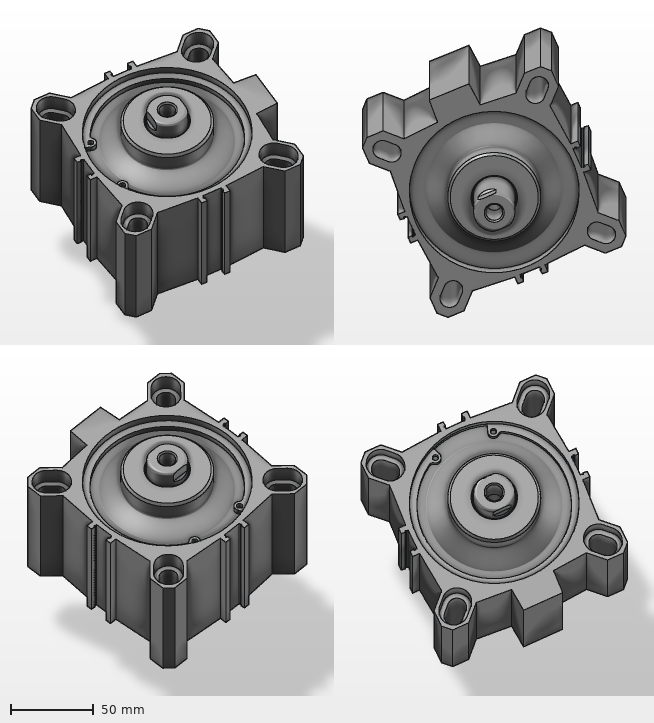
import cadquery as cq
import math

TOTAL_LENGTH = 137.0
HOUSING_WIDTH = 124.0
HOUSING_DEPTH = 131.0
HOUSING_BOTTOM = 40.5
HOUSING_HEIGHT = 75.6
HOUSING_TOP = HOUSING_BOTTOM + HOUSING_HEIGHT
MID_HEIGHT = (HOUSING_BOTTOM + HOUSING_TOP) / 2

CORNER_REACH = HOUSING_WIDTH / 2
LUG_CHAMFER = 5.1
LUG_FOOT = 46.3
LUG_NECK = 36.7
SIDE_REACH = 54.4
ROOT_REACH = 52.0
NECK_REACH = LUG_NECK + CORNER_REACH - LUG_FOOT

RIB_ROOT_INNER = 6.3
RIB_LIP_INNER = 5.9
RIB_TIP_INNER = 6.2
NOTCH_FLOOR = 6.7
RIB_OUTER = 9.9
RIB_REACH = 59.0
NOTCH_OFFSET = 1.1
NOTCH_START = SIDE_REACH + NOTCH_OFFSET
NOTCH_WIDTH = 1.0

BLOCK_ROOT_HALF = 14.0
BLOCK_END_HALF = 13.0
BLOCK_REACH = HOUSING_DEPTH - CORNER_REACH

SLOT_DIAMETER = 11.5
SLOT_SINK_DIAMETER = 17.8
SLOT_SINK_DEPTH = 11.0
SLOT_CENTER = 49.2
SLOT_TRAVEL = 5.9

BORE_DIAMETER = 102.2
COVER_EDGE_Z = 107.7
COVER_THICKNESS = 8.2
CONE_OUTER_DIAMETER = 81.9
CONE_TOP_Z = 114.4
CONE_FILLET = 1.0
BOSS_DIAMETER = 56.0
BOSS_TOP_Z = 126.9
BOSS_CHAMFER = 1.5
COVER_HOLE_DIAMETER = 25.6
WIPER_SEAT_DIAMETER = 26.9
WIPER_SEAT_DEPTH = 2.0
WIPER_SEAT_CHAMFER = 0.5
COVER_BACK_Z = COVER_EDGE_Z - COVER_THICKNESS

RING_THICKNESS = 3.5
RING_GROOVE_DIAMETER = 106.2
RING_INNER_DIAMETER = 93.2
EAR_HOLE_DIAMETER = 3.5
EAR_RADIUS = 3.4
EAR_FILLET = 2.6
EAR_X = 19.3
EAR_Y = -42.0

ROD_DIAMETER = 25.0
ROD_END_ROUND = 2.0
FLAT_WIDTH = 21.9
FLAT_LENGTH = 7.1
FLAT_DEPTH = (ROD_DIAMETER - FLAT_WIDTH) / 2
THREAD_DIAMETER = 10.1
THREAD_MOUTH_DIAMETER = 12.0
THREAD_DEPTH = 20.5
DRILL_POINT_ANGLE = 118.0


def cylinder(diameter, bottom, top):
    return cq.Workplane("XY").workplane(offset=bottom).circle(diameter / 2).extrude(top - bottom)


def housing_block():
    """Side walls and corner lugs: one quarter outline, turned to all four corners."""
    quarter = [
        (SIDE_REACH, 0),
        (SIDE_REACH, RIB_OUTER),
        (NECK_REACH, LUG_NECK),
        (CORNER_REACH, LUG_FOOT),
        (CORNER_REACH, CORNER_REACH - LUG_CHAMFER),
        (CORNER_REACH - LUG_CHAMFER, CORNER_REACH),
        (LUG_FOOT, CORNER_REACH),
        (LUG_NECK, NECK_REACH),
        (RIB_OUTER, SIDE_REACH),
    ]
    outline = []
    for turn in range(4):
        for x, y in quarter:
            for _ in range(turn):
                x, y = -y, x
            outline.append((x, y))
    base = cq.Workplane("XY").workplane(offset=HOUSING_BOTTOM)
    return base.polyline(outline).close().extrude(HOUSING_HEIGHT)


def sensor_rib_pair():
    """The two ribs on the -Y side, each with a small notch behind its slanted lip."""
    notch_end = NOTCH_START + NOTCH_WIDTH
    rib = (
        cq.Workplane("XY")
        .workplane(offset=HOUSING_BOTTOM)
        .polyline([
            (RIB_ROOT_INNER, -ROOT_REACH),
            (RIB_ROOT_INNER, -NOTCH_START),
            (NOTCH_FLOOR, -NOTCH_START),
            (NOTCH_FLOOR, -notch_end),
            (RIB_LIP_INNER, -notch_end),
            (RIB_TIP_INNER, -RIB_REACH),
            (RIB_OUTER, -RIB_REACH),
            (RIB_OUTER, -ROOT_REACH),
        ])
        .close()
        .extrude(HOUSING_HEIGHT)
    )
    return rib, rib.mirror("YZ")


def connection_block():
    """Slightly tapered block on the +Y side, as tall as the housing."""
    return (
        cq.Workplane("XY")
        .workplane(offset=HOUSING_BOTTOM)
        .polyline([
            (-BLOCK_ROOT_HALF, SIDE_REACH),
            (-BLOCK_END_HALF, BLOCK_REACH),
            (BLOCK_END_HALF, BLOCK_REACH),
            (BLOCK_ROOT_HALF, SIDE_REACH),
            (BLOCK_ROOT_HALF, ROOT_REACH),
            (-BLOCK_ROOT_HALF, ROOT_REACH),
        ])
        .close()
        .extrude(HOUSING_HEIGHT)
    )


def lug_slots(diameter, depth):
    """Slots of the given width, cut down from the housing top in all four lugs."""
    slots = cq.Workplane("XY").workplane(offset=HOUSING_TOP - depth)
    for x_side in (-1, 1):
        for y_side in (-1, 1):
            slots = (
                slots.pushPoints([(x_side * SLOT_CENTER, y_side * SLOT_CENTER)])
                .slot2D(SLOT_TRAVEL + diameter, diameter, angle=45 * x_side * y_side)
                .extrude(depth)
            )
    return slots


def make_housing():
    """Housing with a bore at each end for a cover, and a ring groove at the upper end only."""
    body = housing_block().union(connection_block())
    for rib_angle in (-90, 0, 90):
        for rib in sensor_rib_pair():
            body = body.union(rib.rotate((0, 0, 0), (0, 0, 1), rib_angle))
    body = body.cut(lug_slots(SLOT_DIAMETER, HOUSING_HEIGHT))
    body = body.cut(lug_slots(SLOT_SINK_DIAMETER, SLOT_SINK_DEPTH))
    lower_cover_back = 2 * MID_HEIGHT - COVER_BACK_Z
    body = body.cut(cylinder(ROD_DIAMETER, HOUSING_BOTTOM, HOUSING_TOP))
    body = body.cut(cylinder(BORE_DIAMETER, COVER_BACK_Z, HOUSING_TOP))
    body = body.cut(cylinder(BORE_DIAMETER, HOUSING_BOTTOM, lower_cover_back))
    return body.cut(cylinder(RING_GROOVE_DIAMETER, COVER_EDGE_Z, COVER_EDGE_Z + RING_THICKNESS))


def is_ring_edge(edge, radius_height_pairs):
    """True for a circular edge about Z that has one of the given radius and height pairs."""
    return any(
        math.isclose(edge.radius(), radius) and math.isclose(edge.Center().z, height)
        for radius, height in radius_height_pairs
    )


def make_upper_cover():
    """Flange, conical shoulder and boss turned about Z, with a stepped rod hole."""
    boss_radius = BOSS_DIAMETER / 2
    hole_radius = COVER_HOLE_DIAMETER / 2
    seat_radius = WIPER_SEAT_DIAMETER / 2
    profile = [
        (hole_radius, COVER_BACK_Z),
        (BORE_DIAMETER / 2, COVER_BACK_Z),
        (BORE_DIAMETER / 2, COVER_EDGE_Z),
        (CONE_OUTER_DIAMETER / 2, COVER_EDGE_Z),
        (boss_radius, CONE_TOP_Z),
        (boss_radius, BOSS_TOP_Z - BOSS_CHAMFER),
        (boss_radius - BOSS_CHAMFER, BOSS_TOP_Z),
        (seat_radius + WIPER_SEAT_CHAMFER, BOSS_TOP_Z),
        (seat_radius, BOSS_TOP_Z - WIPER_SEAT_CHAMFER),
        (seat_radius, BOSS_TOP_Z - WIPER_SEAT_DEPTH),
        (hole_radius, BOSS_TOP_Z - WIPER_SEAT_DEPTH),
    ]
    cover = cq.Workplane("XZ").polyline(profile).close().revolve(360, (0, 0, 0), (0, 1, 0))
    cone_ends = [(CONE_OUTER_DIAMETER / 2, COVER_EDGE_Z), (boss_radius, CONE_TOP_Z)]
    return cover.edges("%CIRCLE").filter(lambda edge: is_ring_edge(edge, cone_ends)).fillet(CONE_FILLET)


def make_covers():
    """The upper cover and its mirror image at the lower end of the housing."""
    upper = make_upper_cover()
    covers = []
    for flip_angle in (0, 180):
        covers.append(upper.rotate((0, 0, MID_HEIGHT), (1, 0, MID_HEIGHT), flip_angle).val())
    return covers


def make_retaining_ring():
    """Open ring with two drilled ears; its ends are radial and touch the ears' flanks."""
    top = COVER_EDGE_Z + RING_THICKNESS
    ring = cylinder(RING_GROOVE_DIAMETER, COVER_EDGE_Z, top)
    ring = ring.cut(cylinder(RING_INNER_DIAMETER, COVER_EDGE_Z, top))
    ear_distance = math.hypot(EAR_X, EAR_Y)
    end_angle = math.atan2(EAR_X, -EAR_Y) - math.asin(EAR_RADIUS / ear_distance)
    gap_half_width = RING_GROOVE_DIAMETER * math.tan(end_angle)
    gap = (
        cq.Workplane("XY")
        .workplane(offset=COVER_EDGE_Z)
        .polyline([
            (0, 0),
            (-gap_half_width, -RING_GROOVE_DIAMETER),
            (gap_half_width, -RING_GROOVE_DIAMETER),
        ])
        .close()
        .extrude(RING_THICKNESS)
    )
    ring = ring.cut(gap)
    ear_centers = [(-EAR_X, EAR_Y), (EAR_X, EAR_Y)]
    ear_plane = cq.Workplane("XY").workplane(offset=COVER_EDGE_Z).pushPoints(ear_centers)
    ears = ear_plane.circle(EAR_RADIUS).extrude(RING_THICKNESS)
    ring = ring.union(ears)
    ear_corners = cq.selectors.BoxSelector(
        (-RING_GROOVE_DIAMETER, EAR_Y, COVER_EDGE_Z),
        (RING_GROOVE_DIAMETER, 0, top),
    )
    ring = ring.edges("|Z").edges(ear_corners).fillet(EAR_FILLET)
    holes = ear_plane.circle(EAR_HOLE_DIAMETER / 2).extrude(RING_THICKNESS)
    return ring.cut(holes)


def wrench_flat_cutter():
    """Cutter for the flat on the -Y side of the top end, its inner end running out at 45 degrees."""
    flat = FLAT_WIDTH / 2
    outside = flat + 2 * FLAT_DEPTH
    flat_end = TOTAL_LENGTH - FLAT_LENGTH
    return (
        cq.Workplane("YZ")
        .polyline([
            (-flat, TOTAL_LENGTH),
            (-flat, flat_end),
            (-outside, flat_end - 2 * FLAT_DEPTH),
            (-outside, TOTAL_LENGTH),
        ])
        .close()
        .extrude(ROD_DIAMETER / 2, both=True)
    )


def thread_hole_cutter():
    """Blind hole in the top end with a countersunk mouth and a drill point."""
    radius = THREAD_DIAMETER / 2
    mouth = THREAD_MOUTH_DIAMETER / 2
    floor = TOTAL_LENGTH - THREAD_DEPTH
    point = floor - radius / math.tan(math.radians(DRILL_POINT_ANGLE / 2))
    profile = [
        (0, TOTAL_LENGTH),
        (mouth, TOTAL_LENGTH),
        (radius, TOTAL_LENGTH - (mouth - radius)),
        (radius, floor),
        (0, point),
    ]
    return cq.Workplane("XZ").polyline(profile).close().revolve(360, (0, 0, 0), (0, 1, 0))


def make_rod():
    """Through rod whose two ends are alike: rounded, with two flats and a threaded hole."""
    rod = cylinder(ROD_DIAMETER, 0, TOTAL_LENGTH).edges().fillet(ROD_END_ROUND)
    flat = wrench_flat_cutter()
    for cutter in (flat, flat.mirror("XZ"), thread_hole_cutter()):
        rod = rod.cut(cutter)
        rod = rod.cut(cutter.mirror("XY", (0, 0, TOTAL_LENGTH / 2)))
    return rod


housing = make_housing()
covers = make_covers()
ring = make_retaining_ring()
rod = make_rod()

result = cq.Compound.makeCompound([housing.val(), *covers, ring.val(), rod.val()])